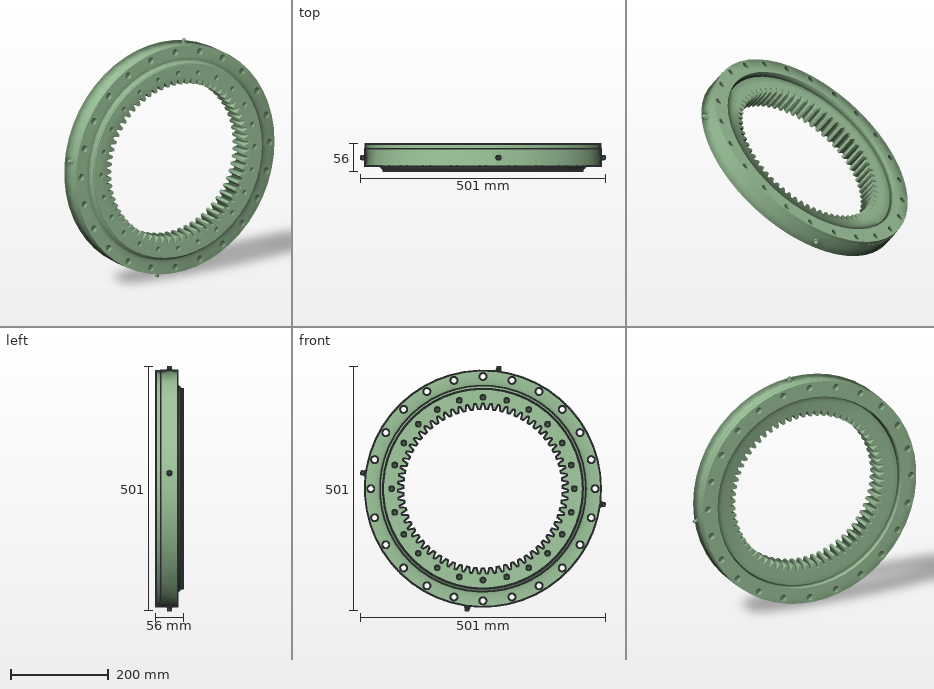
import cadquery as cq
import math


outer_length = 45.5
centring_radius = 242.0
centring_length = 10.0
outer_radius = 242.5
outer_bore_radius = 208.5
outer_bolt_circle = 230.0
outer_bolt_diameter = 14.0
outer_bolt_count = 24

front_distance = 56.0
inner_length = outer_length
inner_radius = 205.0
seal_seat_depth = 0.5
front_land_length = 3.0
inner_bolt_circle = 187.5
inner_bolt_diameter = 10.5
inner_bolt_depth = 20.0
inner_bolt_count = 24
drill_point_angle = 118

tooth_count = 67
tip_radius = 163.0
root_radius = 174.5
flank_middle_radius = 169.0
gap_tip_half_width = 5.0
gap_middle_half_width = 3.25
gap_root_half_width = 1.75
gap_overcut = 1.5

seal_outer_radius = 211.5
seal_lip_radius = 205.5
seal_lip_height = 6.0
seal_recess_depth = 4.0

nipple_count = 4
nipple_angle = 7.5
nipple_from_back = 28.0
shank_diameter = 6.0
shank_depth = 6.0
hex_across_corners = 10.0
hex_height = 2.75
neck_diameter = 4.0
neck_height = 2.25
head_diameter = 7.5
head_tip_diameter = 6.0
head_straight_height = 2.25
head_taper_height = 2.5

seal_seat_radius = inner_radius - seal_seat_depth


def ring_body(section):
    """Revolve a section, given as (radius, distance from the back face), about the Y axis."""
    points = [(radius, -distance) for radius, distance in section]
    return cq.Workplane("XY").polyline(points).close().revolve(360, (0, 0, 0), (0, 1, 0))


def front_plane(distance):
    """Workplane facing -Y at a given distance in front of the back face."""
    return cq.Workplane("XZ", origin=(0, -distance, 0))


def around_axis(body, count, first_angle=0.0):
    """Copies of a body spaced evenly about the Y axis."""
    step = 360 / count
    return [
        body.rotate((0, 0, 0), (0, 1, 0), first_angle + index * step).val()
        for index in range(count)
    ]


def make_nipple_shank():
    return (
        cq.Workplane("XY", origin=(0, -nipple_from_back, outer_radius - shank_depth))
        .circle(shank_diameter / 2)
        .extrude(shank_depth)
    )


def make_nipple():
    """Grease nipple pointing along +Z, with its hexagon resting on the outer ring."""
    hexagon = (
        cq.Workplane("XY", origin=(0, -nipple_from_back, outer_radius))
        .polygon(6, hex_across_corners)
        .extrude(hex_height)
    )
    neck_top = hex_height + neck_height
    taper_start = neck_top + head_straight_height
    nipple_height = taper_start + head_taper_height
    head_profile = [
        (0, 0),
        (neck_diameter / 2, 0),
        (neck_diameter / 2, neck_top),
        (head_diameter / 2, neck_top),
        (head_diameter / 2, taper_start),
        (head_tip_diameter / 2, nipple_height),
        (0, nipple_height),
    ]
    head = (
        cq.Workplane("XZ", origin=(0, -nipple_from_back, outer_radius))
        .polyline(head_profile)
        .close()
        .revolve(360, (0, 0, 0), (0, 1, 0))
    )
    return make_nipple_shank().union(hexagon).union(head)


def make_outer_ring():
    ring = ring_body([
        (outer_bore_radius, 0),
        (centring_radius, 0),
        (centring_radius, centring_length),
        (outer_radius, centring_length),
        (outer_radius, outer_length),
        (seal_outer_radius, outer_length),
        (seal_outer_radius, outer_length - seal_recess_depth),
        (outer_bore_radius, outer_length - seal_recess_depth),
    ])
    bolt_holes = (
        front_plane(0)
        .polarArray(outer_bolt_circle, 0, 360, outer_bolt_count)
        .circle(outer_bolt_diameter / 2)
        .extrude(outer_length)
    )
    nipple_holes = cq.Compound.makeCompound(around_axis(make_nipple_shank(), nipple_count, nipple_angle))
    return ring.cut(bolt_holes).cut(cq.Workplane(nipple_holes))


def make_tooth_gaps():
    """Cutters for the gaps between the gear teeth; the first gap points along +Z."""
    clear_radius = tip_radius - gap_overcut
    gap = (
        front_plane(front_distance - inner_length)
        .moveTo(-gap_tip_half_width, clear_radius)
        .lineTo(-gap_tip_half_width, tip_radius)
        .threePointArc((-gap_middle_half_width, flank_middle_radius), (-gap_root_half_width, root_radius))
        .lineTo(gap_root_half_width, root_radius)
        .threePointArc((gap_middle_half_width, flank_middle_radius), (gap_tip_half_width, tip_radius))
        .lineTo(gap_tip_half_width, clear_radius)
        .close()
        .extrude(inner_length)
    )
    return around_axis(gap, tooth_count)


def make_inner_bolt_holes():
    """Blind holes with drill points, opening at the front face; the first points along +Z."""
    radius = inner_bolt_diameter / 2
    point_length = radius / math.tan(math.radians(drill_point_angle / 2))
    bottom = inner_bolt_depth + point_length
    hole = (
        cq.Workplane("XY", origin=(0, -front_distance, inner_bolt_circle))
        .polyline([(0, 0), (radius, 0), (radius, inner_bolt_depth), (0, bottom)])
        .close()
        .revolve(360, (0, 0, 0), (0, 1, 0))
    )
    return around_axis(hole, inner_bolt_count)


def make_inner_ring():
    ring = ring_body([
        (tip_radius, front_distance - inner_length),
        (seal_seat_radius, front_distance - inner_length),
        (seal_seat_radius, front_distance - front_land_length),
        (inner_radius, front_distance - front_land_length),
        (inner_radius, front_distance),
        (tip_radius, front_distance),
    ])
    cutters = make_tooth_gaps() + make_inner_bolt_holes()
    return ring.cut(cq.Workplane(cq.Compound.makeCompound(cutters)))


def make_seal():
    return ring_body([
        (seal_seat_radius, outer_length - seal_recess_depth),
        (seal_outer_radius, outer_length - seal_recess_depth),
        (seal_outer_radius, outer_length),
        (seal_lip_radius, outer_length + seal_lip_height),
        (seal_seat_radius, outer_length + seal_lip_height),
    ])


outer_ring = make_outer_ring()
inner_ring = make_inner_ring()
seal = make_seal()
nipples = around_axis(make_nipple(), nipple_count, nipple_angle)

result = cq.Compound.makeCompound([outer_ring.val(), inner_ring.val(), seal.val(), *nipples])